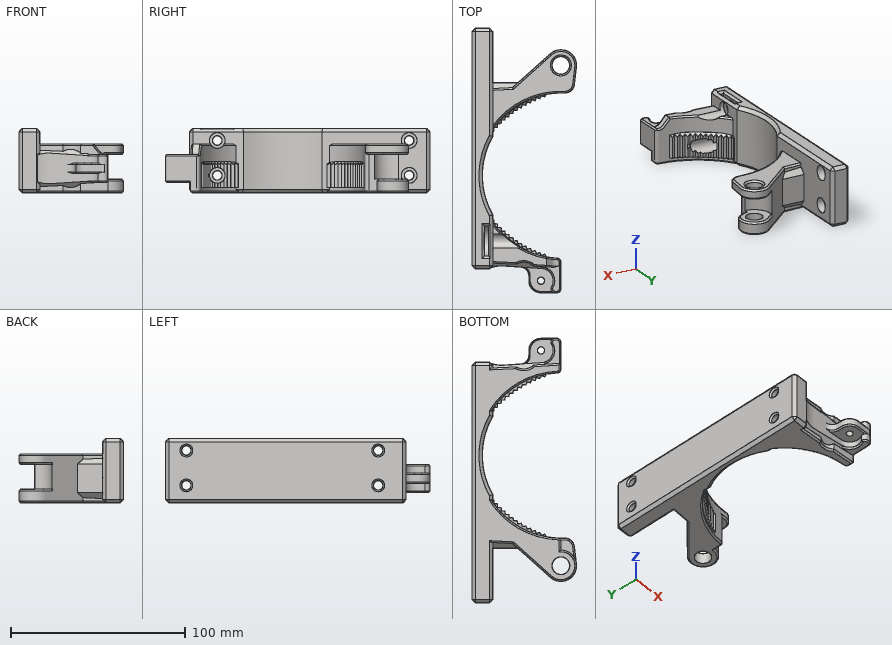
import cadquery as cq
import math

plate_length = 138.0
plate_thickness = 12.0
height = 37.0
plate_chamfer = 2.0
embed_x = 8.0

screw_diameter = 5.3
screw_head_diameter = 9.0
screw_head_seat_x = 7.0
screw_mouth_chamfer = 1.0
screw_spacing_y = 110.0
screw_centre_y = 2.0
screw_levels = (10.0, 30.0)
slotted_screw_y = screw_centre_y - screw_spacing_y / 2

slot_centre_x = 8.3
slot_width = 2.4
slot_length = 17.4
slot_chamfer = 1.3

bore_x = 51.0
bore_y = -15.5
saddle_floor_x = 6.0
saddle_radius = bore_x - saddle_floor_x
jaw_radius = 47.35

arm_height = 28.0
arm_chamfer = 1.0
lower_arm_top_chamfer = 0.9
end_corner_fillet = 2.2
arm_end_x = bore_x
rib_setback = 2.0
mid_z = arm_height / 2

ear_x, ear_y = bore_x, 47.7
ear_radius = 9.0
ear_hole_diameter = 10.0
ear_hole_chamfer = 1.0
top_ear_thickness = 6.0
lower_ear_thickness = 7.8
ear_toe = (58.2, bore_y + jaw_radius)
ear_toe_fillet = 5.5
ear_root = (23.3, 35.0)
ear_root_y = 34.2
fork_clearance_radius = 10.5
upper_rib_y = 37.8
upper_rib_slope_sum = 60.0

lower_wall_root_y = -65.5
scallop_start = (25.4, -66.3)
scallop_middle = (30.6, -65.2)
scallop_end = (35.4, -67.4)
lower_wall_end_y = -68.4

rib_root = (10.3, -68.5)
rib_root_middle = (14.0, -67.55)
rib_root_end = (18.0, -67.35)
lower_rib_slope_sum = 90.1

end_slope_top_x = 42.7
end_slope_foot_x = 47.7
end_hollow_radius = 5.0

hinge_x, hinge_y = 39.6, -75.73
lug_radius = 7.0
lug_thickness = 6.0
lug_chamfer = 0.8
lug_root_fillet = 5.0
lug_inner_y = -64.0
lug_end_x = 49.0
pin_diameter = 4.0
hinge_clearance_radius = lug_radius
post_height = 16.0
post_left_x = 45.2
post_fillet = 2.4
post_chamfer = 0.9

tooth_count = 13
tooth_depth = 1.3
tooth_crest_radius = 66.0
tooth_pitch_angle = 2.56
pad_peak_radius = 44.9
pad_angle = 124.0
pad_backing = 3.0
tooth_bevel = 2.0
pad_bottom_z = 3.0
pad_top_z = 18.0

plate_end_y = plate_length / 2
top_ear_bottom_z = arm_height - top_ear_thickness
web_top_z = top_ear_bottom_z + arm_chamfer
post_bottom_z = mid_z - post_height / 2
post_top_z = mid_z + post_height / 2
lug_bottom_z = mid_z - lug_thickness / 2
lug_top_z = mid_z + lug_thickness / 2
tail_y = hinge_y - lug_radius
rib_end_y = hinge_y + hinge_clearance_radius


def cylinder_z(x, y, radius, bottom, top):
    return cq.Workplane("XY", origin=(x, y, bottom)).circle(radius).extrude(top - bottom)


def cylinder_x(y, z, radius, start, end):
    return cq.Workplane("YZ", origin=(start, y, z)).circle(radius).extrude(end - start)


def cone_z(x, y, bottom_radius, top_radius, bottom, top):
    return (
        cq.Workplane("XY", origin=(x, y, bottom))
        .circle(bottom_radius)
        .workplane(offset=top - bottom)
        .circle(top_radius)
        .loft(combine=True)
    )


def block(x0, x1, y0, y1, z0, z1):
    return cq.Workplane("XY").box(x1 - x0, y1 - y0, z1 - z0, centered=False).translate((x0, y0, z0))


def jaw_point(x, side, setback=0):
    """Point at a given X on the jaw circle, or set back behind it; side is +1 for the upper jaw."""
    return (x, bore_y + side * math.sqrt((jaw_radius + setback) ** 2 - (bore_x - x) ** 2))


def close_on_jaw(outline, side, setback=0):
    """Add the jaw's arc from the arm's end back to the plate and close the outline."""
    start = jaw_point(arm_end_x, side, setback)
    middle = jaw_point((embed_x + arm_end_x) / 2, side, setback)
    return outline.lineTo(*start).threePointArc(middle, jaw_point(embed_x, side, setback)).close()


def jaw_corner(side, part_height):
    """Selector for the upright edge where a jaw meets its arm's end, on a part standing on Z = 0."""
    return cq.selectors.NearestToPointSelector((*jaw_point(arm_end_x, side), part_height / 2))


def from_ear(angle):
    """Point on the ear's round end at an angle in radians."""
    return (ear_x + ear_radius * math.cos(angle), ear_y + ear_radius * math.sin(angle))


def ear_tangent(point, turn):
    """Where a line from a point touches the ear's round end; turn picks one of the two tangents."""
    dx = point[0] - ear_x
    dy = point[1] - ear_y
    return from_ear(math.atan2(dy, dx) + turn * math.acos(ear_radius / math.hypot(dx, dy)))


def make_plate():
    plate = block(0, plate_thickness, -plate_end_y, plate_end_y, 0, height)
    plate = plate.edges().chamfer(plate_chamfer)
    wide = saddle_radius + plate_chamfer
    saddle = cylinder_z(bore_x, bore_y, saddle_radius, 0, height)
    saddle = saddle.union(
        cone_z(bore_x, bore_y, saddle_radius, wide, height - plate_chamfer, height)
    )
    saddle = saddle.union(cone_z(bore_x, bore_y, wide, saddle_radius, 0, plate_chamfer))
    return plate.cut(saddle)


def make_plate_slot():
    screw_z = max(screw_levels)
    pocket_start = slot_centre_x - slot_width / 2
    pocket_end = slot_centre_x + slot_width / 2
    half_length = slot_length / 2
    disc = cylinder_x(slotted_screw_y, screw_z, half_length, pocket_start, pocket_end)
    throat = block(
        pocket_start,
        pocket_end,
        slotted_screw_y - half_length,
        slotted_screw_y + half_length,
        screw_z,
        height,
    )
    mouth = (
        cq.Workplane("XY", origin=(slot_centre_x, slotted_screw_y, height - slot_chamfer))
        .rect(slot_width, slot_length)
        .workplane(offset=slot_chamfer)
        .rect(slot_width + 2 * slot_chamfer, slot_length + 2 * slot_chamfer)
        .loft(combine=True)
    )
    return disc.union(throat).union(mouth)


def make_screw_hole(y, z, head_end_x):
    hole = cylinder_x(y, z, screw_diameter / 2, 0, plate_thickness)
    mouth = (
        cq.Workplane("YZ", origin=(0, y, z))
        .circle(screw_diameter / 2 + screw_mouth_chamfer)
        .workplane(offset=screw_mouth_chamfer)
        .circle(screw_diameter / 2)
        .loft(combine=True)
    )
    head = cylinder_x(y, z, screw_head_diameter / 2, screw_head_seat_x, head_end_x)
    return hole.union(mouth).union(head)


def ear_left_side():
    """Outline from the plate along the arm's outer side to the ear's round end."""
    return (
        cq.Workplane("XY")
        .moveTo(*jaw_point(embed_x, 1))
        .lineTo(embed_x, ear_root_y)
        .lineTo(*ear_root)
        .lineTo(*ear_tangent(ear_root, -1))
    )


def make_top_ear():
    toe_side = ear_tangent(ear_toe, 1)
    outline = ear_left_side().threePointArc(from_ear(math.radians(60)), toe_side).lineTo(*ear_toe)
    outline = close_on_jaw(outline, 1)
    ear = outline.extrude(top_ear_thickness)
    ear = ear.edges(cq.selectors.NearestToPointSelector((*ear_toe, top_ear_thickness / 2)))
    ear = ear.fillet(ear_toe_fillet)
    ear = ear.faces("<Z or >Z").chamfer(arm_chamfer)
    return ear.translate((0, 0, top_ear_bottom_z))


def make_fork_gap():
    return cylinder_z(ear_x, ear_y, fork_clearance_radius, lower_ear_thickness, web_top_z)


def make_web_and_lower_ear():
    """Body of the upper arm below the top ear; it ends flat under the ear except for the lower ear."""
    foot = from_ear(math.radians(-90))
    outline = ear_left_side().threePointArc(from_ear(math.radians(45)), from_ear(0))
    outline = outline.threePointArc(from_ear(math.radians(-45)), foot)
    outline = close_on_jaw(outline, 1)
    web = outline.extrude(web_top_z)
    web = web.edges(jaw_corner(1, web_top_z)).fillet(end_corner_fillet)
    web = web.faces("<Z").chamfer(arm_chamfer)
    web = web.cut(make_fork_gap())
    rim = (ear_x + ear_radius / 2, ear_y, lower_ear_thickness)
    return web.edges(cq.selectors.NearestToPointSelector(rim)).chamfer(arm_chamfer)


def make_upper_rib():
    """Thick middle band of the upper arm, beveled at 45 degrees to the thinner edges."""
    outline = (
        cq.Workplane("XY")
        .moveTo(*jaw_point(embed_x, 1, rib_setback))
        .lineTo(embed_x, upper_rib_y)
        .lineTo(arm_end_x, upper_rib_y)
    )
    band = close_on_jaw(outline, 1, rib_setback).extrude(arm_height)
    bevel_top = upper_rib_slope_sum - upper_rib_y
    inner_y = upper_rib_slope_sum - arm_height
    section = (
        cq.Workplane("YZ")
        .moveTo(0, 0)
        .lineTo(inner_y, 0)
        .lineTo(upper_rib_y, arm_height - bevel_top)
        .lineTo(upper_rib_y, bevel_top)
        .lineTo(inner_y, arm_height)
        .lineTo(0, arm_height)
        .close()
        .extrude(bore_x)
    )
    return band.intersect(section)


def make_ear_hole():
    radius = ear_hole_diameter / 2
    mouth_z = arm_height - ear_hole_chamfer
    mouth = cone_z(ear_x, ear_y, radius, radius + ear_hole_chamfer, mouth_z, arm_height)
    return cylinder_z(ear_x, ear_y, radius, 0, arm_height).union(mouth)


def make_upper_arm():
    rib = make_upper_rib().cut(make_fork_gap())
    arm = make_web_and_lower_ear().union(rib).union(make_top_ear())
    return arm.cut(make_ear_hole())


def rib_face_y(x):
    """Y of the lower rib's flat outer face at a given X."""
    slope = (rib_end_y - rib_root_end[1]) / (hinge_x - rib_root_end[0])
    return rib_root_end[1] + slope * (x - rib_root_end[0])


def make_lower_core():
    outline = (
        cq.Workplane("XY")
        .moveTo(*jaw_point(embed_x, -1))
        .lineTo(embed_x, lower_wall_root_y)
        .lineTo(*scallop_start)
        .threePointArc(scallop_middle, scallop_end)
        .lineTo(arm_end_x, lower_wall_end_y)
    )
    core = close_on_jaw(outline, -1).extrude(arm_height)
    core = core.edges(jaw_corner(-1, arm_height)).fillet(end_corner_fillet)
    core = core.faces("<Z").chamfer(arm_chamfer).cut(make_end_slope())
    slope_zone = cq.selectors.BoxSelector(
        (end_slope_top_x, tail_y, post_top_z + arm_chamfer / 2),
        (arm_end_x - arm_chamfer, bore_y, arm_height - arm_chamfer / 2),
    )
    slope_sides = core.edges(slope_zone).edges("not |Y")
    core = core.faces(">Z").edges("not |Y").add(slope_sides).chamfer(lower_arm_top_chamfer)
    return core.cut(
        block(arm_end_x - arm_chamfer, arm_end_x, tail_y, bore_y, post_top_z - arm_chamfer, arm_height)
    )


def make_end_slope():
    """Space above the arm's end, falling along a slope and a hollow to the top of the post."""
    slope = (
        cq.Workplane("XZ", origin=(0, bore_y, 0))
        .moveTo(end_slope_top_x, arm_height)
        .lineTo(end_slope_foot_x, post_top_z)
        .lineTo(arm_end_x + end_hollow_radius, post_top_z)
        .lineTo(arm_end_x + end_hollow_radius, arm_height)
        .close()
        .extrude(plate_length)
    )
    return slope.faces("<Z").edges("<X").fillet(end_hollow_radius)


def make_lower_rib():
    """Thick middle band of the lower arm, beveled at 45 degrees to the thinner edges."""
    inner_y = arm_height - lower_rib_slope_sum
    outline = (
        cq.Workplane("XY")
        .moveTo(*jaw_point(embed_x, -1, rib_setback))
        .lineTo(embed_x, rib_root[1])
        .lineTo(*rib_root)
        .threePointArc(rib_root_middle, rib_root_end)
        .lineTo(hinge_x, rib_end_y)
        .lineTo(arm_end_x, rib_end_y)
    )
    band = close_on_jaw(outline, -1, rib_setback).extrude(arm_height)
    apex_y = mid_z - lower_rib_slope_sum
    section = (
        cq.Workplane("YZ")
        .moveTo(apex_y, mid_z)
        .lineTo(inner_y, 0)
        .lineTo(bore_y, 0)
        .lineTo(bore_y, arm_height)
        .lineTo(inner_y, arm_height)
        .close()
        .extrude(arm_end_x)
    )
    above_post = block(hinge_x, arm_end_x, tail_y, bore_y, post_top_z - arm_chamfer, arm_height)
    return band.intersect(section).cut(above_post)


def make_post():
    """Upright beside the hinge lug, cleared around the hinge above and below the lug."""
    post = block(hinge_x, arm_end_x, tail_y, bore_y, post_bottom_z, post_top_z)
    post = post.cut(cylinder_z(bore_x, bore_y, jaw_radius, post_bottom_z, post_top_z))
    post = post.cut(cylinder_z(hinge_x, hinge_y, hinge_clearance_radius, post_bottom_z, post_top_z))
    post = post.cut(block(hinge_x, post_left_x, tail_y, hinge_y, post_bottom_z, post_top_z))
    post = post.edges("|Z and <Y").fillet(post_fillet)
    post = post.edges(jaw_corner(-1, arm_height)).fillet(end_corner_fillet)
    return post.faces("<Z or >Z").chamfer(post_chamfer)


def make_lug():
    root_x = hinge_x - lug_radius
    start_x = root_x - lug_root_fillet
    start_y = rib_face_y(start_x)
    corner = lug_radius * math.sqrt(0.5)
    bend = lug_root_fillet * (1 - math.sqrt(0.5))
    lug = (
        cq.Workplane("XY", origin=(0, 0, lug_bottom_z))
        .moveTo(start_x, start_y)
        .threePointArc((root_x - bend, start_y - bend), (root_x, start_y - lug_root_fillet))
        .lineTo(root_x, hinge_y)
        .threePointArc((hinge_x - corner, hinge_y - corner), (hinge_x, tail_y))
        .lineTo(lug_end_x, tail_y)
        .lineTo(lug_end_x, lug_inner_y)
        .lineTo(start_x, lug_inner_y)
        .close()
        .extrude(lug_thickness)
    )
    return lug.faces("<Z or >Z").chamfer(lug_chamfer)


def make_lower_arm():
    arm = make_lower_core().union(make_lower_rib()).union(make_post()).union(make_lug())
    return arm.cut(cylinder_z(hinge_x, hinge_y, pin_diameter / 2, lug_bottom_z, lug_top_z))


def make_tooth_pad(side):
    """Row of pointed teeth across one jaw; side is +1 for the upper jaw, -1 for the lower."""
    direction = math.radians(pad_angle)
    offset = tooth_crest_radius - pad_peak_radius
    centre_x = bore_x - offset * math.cos(direction)
    centre_y = bore_y - side * offset * math.sin(direction)

    def pad_point(radius, step):
        angle = side * (direction + math.radians(tooth_pitch_angle * step))
        return (centre_x + radius * math.cos(angle), centre_y + radius * math.sin(angle))

    first = -(tooth_count - 1) / 2
    last = -first
    root_radius = tooth_crest_radius + tooth_depth
    back_radius = root_radius + pad_backing
    outline = [pad_point(root_radius, first - 0.5)]
    for index in range(tooth_count):
        outline.append(pad_point(tooth_crest_radius, first + index))
        outline.append(pad_point(root_radius, first + index + 0.5))
    pad = cq.Workplane("XY", origin=(0, 0, pad_bottom_z)).polyline(outline)
    pad = pad.lineTo(*pad_point(back_radius, last + 0.5))
    pad = pad.threePointArc(pad_point(back_radius, 0), pad_point(back_radius, first - 0.5))
    pad = pad.close().extrude(pad_top_z - pad_bottom_z)
    bevel = cone_z(
        centre_x,
        centre_y,
        tooth_crest_radius,
        tooth_crest_radius + tooth_bevel,
        pad_top_z - tooth_bevel,
        pad_top_z,
    )
    return pad.cut(bevel)


result = make_plate().union(make_upper_arm()).union(make_lower_arm())
for jaw_side in (1, -1):
    result = result.union(make_tooth_pad(jaw_side))
result = result.cut(make_plate_slot())
for screw_z in screw_levels:
    result = result.cut(make_screw_hole(slotted_screw_y + screw_spacing_y, screw_z, plate_thickness))
    result = result.cut(make_screw_hole(slotted_screw_y, screw_z, arm_end_x))